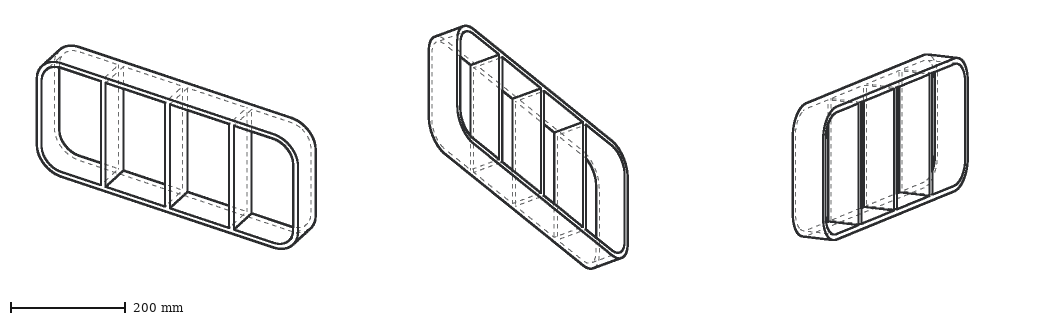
import cadquery as cq

length = 532.0
depth = 60.0
height = 238.0

wall = 10.0
corner_radius = 50.0
divider_count = 3

divider_pitch = (length - wall) / (divider_count + 1)


def rounded_block(size_x, size_z, radius):
    """Block through the full depth with its four Y-direction edges rounded."""
    return cq.Workplane("XY").box(size_x, depth, size_z).edges("|Y").fillet(radius)


def make_ring():
    """Outer band of constant wall thickness."""
    outer = rounded_block(length, height, corner_radius)
    opening = rounded_block(length - 2 * wall, height - 2 * wall, corner_radius - wall)
    return outer.cut(opening)


def make_divider(x):
    """Upright plate reaching halfway into the top and bottom walls."""
    return cq.Workplane("XY").box(wall, depth, height - wall).translate((x, 0, 0))


result = make_ring()
for index in range(divider_count):
    offset = index - (divider_count - 1) / 2
    result = result.union(make_divider(offset * divider_pitch))
result = result.clean()